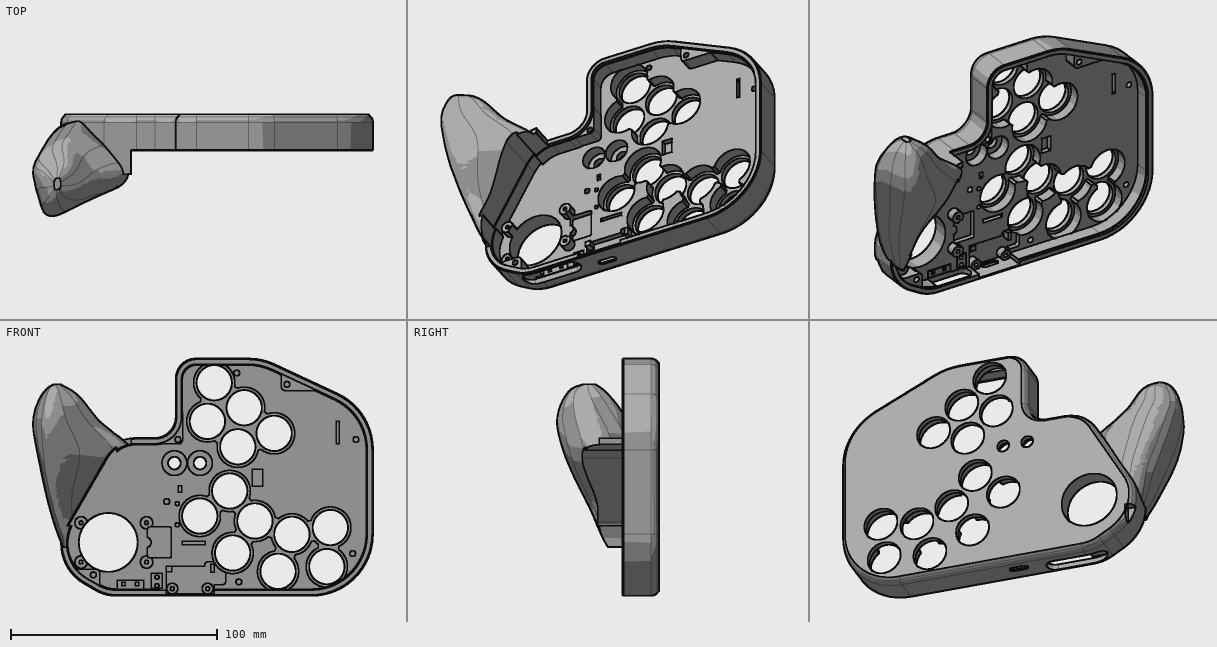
import math
import cadquery as cq


TRAY_WIDTH = 151.1
TRAY_HEIGHT = 115.0
TRAY_DEPTH = 17.7
FLOOR_THICKNESS = 8.8
FACE_THICKNESS = 3.0
LID_RECESS_DEPTH = 1.5
RIM_WIDTH = 2.8
WALL_THICKNESS = 3.3
RIM_CHAMFER = 0.5
BACK_ROUND = 4.0
FAR_AWAY = 60.0
OVERCUT = 1.0
TOLERANCE = 0.1
LEDGE_DEPTH = TRAY_DEPTH - LID_RECESS_DEPTH

GRIP_CORNER_RADIUS = 22.5
HEEL_RADIUS = 20.0
RIGHT_RADIUS = 30.0
TOP_BEND_RADIUS = 30.0
NECK_RADIUS = 10.0
SHOULDER_RADIUS = 18.0
NECK_X = 55.5
SHELF_Z = 76.5
HEEL_X = 26.9
TOP_BEND_X = 90.6
SLANT_ANGLE = 60.0
HEEL_ANGLE = 30.0
ROOF_ANGLE = 25.0

BUTTON_DIAMETER = 17.0
BUTTON_RECESS_DIAMETER = 20.0
BUTTON_NECK_WIDTH = 10.0
UPPER_BUTTONS = [(74.2, 103.2), (88.7, 91.1), (103.2, 78.7), (85.6, 72.2), (70.9, 84.5)]
LOWER_BUTTONS = [
    (81.7, 50.8), (67.2, 38.7), (93.9, 36.3), (83.1, 20.8),
    (111.8, 29.8), (130.4, 33.1), (105.1, 11.9), (128.7, 14.2),
]
SMALL_BUTTON_DIAMETER = 6.0
SMALL_BUTTON_RECESS_DIAMETER = 12.0
SMALL_BUTTONS = [(54.9, 64.3), (67.3, 64.3)]

STICK_X = 22.9
STICK_Z = 25.9
STICK_DIAMETER = 28.4
STICK_POST_DIAMETER = 6.0
STICK_POST_HEIGHT = 4.5
STICK_POST_HOLE_DIAMETER = 1.8
STICK_POST_CENTER_X = 25.6
STICK_POST_SPACING_X = 31.7
STICK_POST_SPACING_Z = 19.0
STICK_POCKET = (41.9, 53.5, 18.4, 33.4)
STICK_POCKET_ROUND = 1.0
STICK_POCKET_BUMP_DIAMETER = 5.3
STICK_POCKET_BUMP_X = 41.0
STICK_SLOT = (-1.0, 4.6, 12.0, 20.0)
STICK_SLOT_START = 0.4
STICK_SLOT_END = 5.0

SCREW_DIAMETER = 2.8
SCREW_DEPTH = 5.0
FLOOR_SCREWS = [(85.1, 107.9), (142.8, 75.7), (141.2, 20.5), (86.1, 6.8), (51.2, 45.7)]
GUSSETS = [(106.6, 130.0, 99.4, 114.0), (44.0, 58.9, 73.6, 90.0), (2.0, 18.9, 2.0, 13.0)]
GUSSET_ROUND = 2.0
GUSSET_SCREWS = [(109.4, 102.4), (56.6, 75.7), (15.7, 10.2)]
PIN_DIAMETER = 2.0
PINS = [(56.3, 44.7), (56.3, 34.4)]

POCKET_DEPTH = 2.8
FLOOR_POCKETS = [(133.2, 134.8, 73.6, 84.5), (58.8, 69.9, 24.8, 26.5),
                 (56.8, 58.5, 50.2, 53.3), (92.5, 97.6, 53.2, 61.3)]
MARK_DEPTH = 0.5
CONNECTOR_SEAT = (27.2, 40.2, RIM_WIDTH, 7.5)
CONNECTOR_PEG_HOLES = [(30.4, 5.8), (36.8, 5.8)]
CONNECTOR_PEG_SIZE = 1.7
SWITCH_SEAT = (43.8, 49.1, 3.7, 11.0)
SWITCH_HOLES = [(46.5, 9.1), (46.5, 5.0)]

BOARD_LEFT = 50.9
BOARD_RIGHT = 79.7
BOARD_TOP = 14.4
BOARD_STEP_X = 74.2
BOARD_STEP_Z = 5.5
BOARD_CORNER_ROUND = 1.5
BOARD_WALL = 1.05
BOARD_POST_DIAMETER = 5.3
BOARD_POST_HOLE_DIAMETER = 2.0
BOARD_POSTS = [(53.9, 3.5), (71.0, 3.5)]
BOARD_SEAT_DEPTH = 10.1
BOARD_CORNER_PAD = (BOARD_LEFT, 53.6, 11.8, BOARD_TOP)
BOARD_CLIP_RELIEF = (69.6, 75.9, 11.4, 16.5)
BOARD_CLIP = (72.4, 74.2, 11.4, 15.4)

USB_X = 62.4
USB_Y = -9.0
USB_SIZE = (9.4, 3.4)
CONNECTOR_WALL_RELIEF = (HEEL_X, BOARD_LEFT, RIM_WIDTH, WALL_THICKNESS)
CONNECTOR_SLOT_X = 33.6
CONNECTOR_SLOT_Y = -12.1
CONNECTOR_SLOT_SIZE = (31.0, 8.4)

SLANT_WALL_CUT = 1.5
SLANT_ZONE = (0.0, 27.0, 34.0, 72.0)
GRIP_WALL_ZONE = (8.0, 34.0, 50.0, SHELF_Z + OVERCUT)
GRIP_WALL_END = 29.0
GRIP_CORNER_SHARE = 0.33
GRIP_SECTIONS = [
    (23.6, [(1.0, -17.0), (2.0, -25.0), (7.0, -24.0), (6.0, -13.0), (1.0, -13.0)]),
    (30.0, [(-2.0, -17.0), (1.0, -29.8), (13.0, -22.0), (10.0, -5.5), (0.0, -8.0)]),
    (40.0, [(-5.5, -18.0), (-2.0, -35.0), (20.0, -21.0), (12.0, -2.5), (-1.0, -5.5)]),
    (55.0, [(-9.3, -21.0), (-5.5, -43.0), (30.0, -27.0), (11.0, -4.0), (-4.0, -8.0)]),
    (70.0, [(-12.5, -25.0), (-7.0, -50.0), (41.0, -30.0), (9.0, -7.5), (-7.0, -12.5)]),
    (77.0, [(-14.0, -26.0), (-7.0, -52.3), (33.5, -31.0), (7.0, -9.5), (-8.0, -15.0)]),
    (85.0, [(-14.6, -28.0), (-7.0, -53.05), (22.0, -34.0), (5.0, -14.0), (-9.0, -18.5)]),
    (95.0, [(-11.6, -29.0), (-6.0, -48.8), (12.0, -38.0), (5.0, -21.5), (-6.0, -24.0)]),
    (100.0, [(-7.8, -31.0), (-5.0, -44.0), (5.2, -38.0), (2.5, -27.0), (-4.0, -27.5)]),
    (102.5, [(-3.5, -33.0), (-3.0, -37.0), (0.0, -36.0), (-0.3, -31.0), (-2.5, -31.0)]),
]


def plane_at(depth):
    """XZ sketch plane, at a given depth from the outer face; extrusions run toward -Y."""
    return cq.Workplane("XZ", origin=(0, -depth, 0))


def box(bounds, start, end, corner_round=0.0):
    """Block over (left, right, bottom, top) between two depths."""
    left, right, bottom, top = bounds
    block = (
        plane_at(start)
        .center((left + right) / 2, (bottom + top) / 2)
        .rect(right - left, top - bottom)
        .extrude(end - start)
    )
    return block.edges("|Y").fillet(corner_round) if corner_round else block


def rods(points, diameter, start, end):
    """Equal cylinders along Y at all points, between two depths."""
    return plane_at(start).pushPoints(points).circle(diameter / 2).extrude(end - start)


def arc_point(center, radius, angle):
    turn = math.radians(angle)
    return (center[0] + radius * math.cos(turn), center[1] + radius * math.sin(turn))


def tray_outline(depth):
    """Closed tray outline, clockwise in (X, Z) from the left end of the flat bottom edge."""
    heel = (HEEL_X, HEEL_RADIUS)
    heel_end = arc_point(heel, HEEL_RADIUS, 270 - HEEL_ANGLE)
    slope = math.tan(math.radians(HEEL_ANGLE))
    corner_end_x = GRIP_CORNER_RADIUS * (1 - math.sin(math.radians(HEEL_ANGLE)))
    corner_end_z = heel_end[1] + (heel_end[0] - corner_end_x) * slope
    corner = (
        GRIP_CORNER_RADIUS,
        corner_end_z + GRIP_CORNER_RADIUS * math.cos(math.radians(HEEL_ANGLE)),
    )
    slant_normal = 90 + SLANT_ANGLE
    slant_start = arc_point(corner, GRIP_CORNER_RADIUS, slant_normal)
    shoulder_z = SHELF_Z - SHOULDER_RADIUS
    slant_end_z = shoulder_z + SHOULDER_RADIUS * math.sin(math.radians(slant_normal))
    slant_end_x = slant_start[0] + (slant_end_z - slant_start[1]) / math.tan(math.radians(SLANT_ANGLE))
    shoulder = (slant_end_x - SHOULDER_RADIUS * math.cos(math.radians(slant_normal)), shoulder_z)
    neck = (NECK_X - NECK_RADIUS, SHELF_Z + NECK_RADIUS)
    crown = (NECK_X + NECK_RADIUS, TRAY_HEIGHT - NECK_RADIUS)
    bend = (TOP_BEND_X, TRAY_HEIGHT - TOP_BEND_RADIUS)
    roof_normal = 90 - ROOF_ANGLE
    roof_start = arc_point(bend, TOP_BEND_RADIUS, roof_normal)
    right_x = TRAY_WIDTH - RIGHT_RADIUS
    roof_end_x = right_x + RIGHT_RADIUS * math.cos(math.radians(roof_normal))
    roof_end_z = roof_start[1] - (roof_end_x - roof_start[0]) * math.tan(math.radians(ROOF_ANGLE))
    upper_right = (right_x, roof_end_z - RIGHT_RADIUS * math.sin(math.radians(roof_normal)))
    lower_right = (right_x, RIGHT_RADIUS)

    stretches = [
        (heel, HEEL_RADIUS, 270, 270 - HEEL_ANGLE),
        (corner, GRIP_CORNER_RADIUS, 270 - HEEL_ANGLE, slant_normal),
        (shoulder, SHOULDER_RADIUS, slant_normal, 90),
        (neck, NECK_RADIUS, -90, 0),
        (crown, NECK_RADIUS, 180, 90),
        (bend, TOP_BEND_RADIUS, 90, roof_normal),
        (upper_right, RIGHT_RADIUS, roof_normal, 0),
        (lower_right, RIGHT_RADIUS, 0, -90),
    ]
    sketch = plane_at(depth).moveTo(HEEL_X, 0)
    for index, (center, radius, first, last) in enumerate(stretches):
        if index:
            sketch = sketch.lineTo(*arc_point(center, radius, first))
        middle = arc_point(center, radius, (first + last) / 2)
        sketch = sketch.threePointArc(middle, arc_point(center, radius, last))
    return sketch.close()


def inner_prism(inset, start, end):
    return tray_outline(start).offset2D(-inset).extrude(end - start)


def make_shell():
    """Solid tray block: the back edge is a 45 degree bevel blended into the sides."""
    bevel = BACK_ROUND * (2 - math.sqrt(2))
    shell = tray_outline(0).extrude(TRAY_DEPTH)
    shell = shell.faces(">Y").chamfer(bevel)
    bevel_edges = cq.selectors.BoxSelector(
        (-FAR_AWAY, -bevel - TOLERANCE, -FAR_AWAY), (2 * TRAY_WIDTH, -bevel + TOLERANCE, 2 * TRAY_HEIGHT)
    )
    shell = shell.edges(bevel_edges).fillet(BACK_ROUND)
    return shell.faces("<Y").edges().chamfer(RIM_CHAMFER)


def grip_section(height, corners):
    """Polygon with each corner replaced by a smooth curve."""
    points = [cq.Vector(x, y, height) for x, y in corners]
    edges = []
    for index, corner in enumerate(points):
        before = corner + (points[index - 1] - corner) * GRIP_CORNER_SHARE
        following = points[(index + 1) % len(points)]
        after = corner + (following - corner) * GRIP_CORNER_SHARE
        edges.append(cq.Edge.makeBezier([before, corner, after]))
        edges.append(cq.Edge.makeLine(after, following + (corner - following) * GRIP_CORNER_SHARE))
    return cq.Wire.assembleEdges(edges)


def opening(inset, start, end):
    """Space inside the tray wall; the wall is thinner along the slanted side."""
    slant = inner_prism(inset - SLANT_WALL_CUT, start, end).intersect(box(SLANT_ZONE, start, end))
    return inner_prism(inset, start, end).union(slant)


def make_grip():
    """Lofted grip with a wall that follows the tray outline, both trimmed to the tray opening."""
    wires = [grip_section(height, corners) for height, corners in GRIP_SECTIONS]
    loft = cq.Workplane(obj=cq.Solid.makeLoft(wires))
    outline = tray_outline(LEDGE_DEPTH).extrude(GRIP_WALL_END - LEDGE_DEPTH)
    wall = outline.intersect(box(GRIP_WALL_ZONE, LEDGE_DEPTH, GRIP_WALL_END))
    return loft.union(wall).cut(opening(RIM_WIDTH, 0, FAR_AWAY))


def hollow(body):
    """Cut the cavity and the wider lid seat."""
    body = body.cut(opening(WALL_THICKNESS, FLOOR_THICKNESS, LEDGE_DEPTH))
    return body.cut(opening(RIM_WIDTH, LEDGE_DEPTH, TRAY_DEPTH))


def add_gussets(body):
    room = inner_prism(WALL_THICKNESS / 2, FACE_THICKNESS, LEDGE_DEPTH)
    for bounds in GUSSETS:
        body = body.union(box(bounds, FACE_THICKNESS, LEDGE_DEPTH, GUSSET_ROUND).intersect(room))
    return body.cut(rods(GUSSET_SCREWS, SCREW_DIAMETER, LEDGE_DEPTH - SCREW_DEPTH, LEDGE_DEPTH))


def button_group(centers, open_middle):
    """Through holes with wide recesses that join their neighbours, optionally clearing the middle."""
    cutter = rods(centers, BUTTON_DIAMETER, -OVERCUT, FLOOR_THICKNESS)
    if open_middle:
        middle = plane_at(FACE_THICKNESS).polyline(centers).close()
        cutter = cutter.union(middle.extrude(FLOOR_THICKNESS - FACE_THICKNESS))
    for index, first in enumerate(centers):
        cutter = cutter.union(rods([first], BUTTON_RECESS_DIAMETER, FACE_THICKNESS, FLOOR_THICKNESS))
        for second in centers[index + 1:]:
            gap = math.dist(first, second)
            if gap < BUTTON_RECESS_DIAMETER:
                angle = math.degrees(math.atan2(second[1] - first[1], second[0] - first[0]))
                neck = (
                    plane_at(FACE_THICKNESS)
                    .center((first[0] + second[0]) / 2, (first[1] + second[1]) / 2)
                    .transformed(rotate=(0, 0, angle))
                    .rect(gap / 2, BUTTON_NECK_WIDTH)
                    .extrude(FLOOR_THICKNESS - FACE_THICKNESS)
                )
                cutter = cutter.union(neck)
    return cutter


def cut_buttons(body):
    body = body.cut(button_group(UPPER_BUTTONS, True)).cut(button_group(LOWER_BUTTONS, False))
    body = body.cut(rods(SMALL_BUTTONS, SMALL_BUTTON_DIAMETER, -OVERCUT, FLOOR_THICKNESS))
    return body.cut(rods(SMALL_BUTTONS, SMALL_BUTTON_RECESS_DIAMETER, FACE_THICKNESS, FLOOR_THICKNESS))


def add_joystick(body):
    half_x = STICK_POST_SPACING_X / 2
    half_z = STICK_POST_SPACING_Z / 2
    posts = [(STICK_POST_CENTER_X + i * half_x, STICK_Z + j * half_z) for i in (-1, 1) for j in (-1, 1)]
    post_end = FLOOR_THICKNESS + STICK_POST_HEIGHT
    floor_level = FLOOR_THICKNESS - POCKET_DEPTH
    body = body.union(rods(posts, STICK_POST_DIAMETER, floor_level, post_end))
    bump = rods([(STICK_POCKET_BUMP_X, STICK_Z)], STICK_POCKET_BUMP_DIAMETER, floor_level, post_end)
    body = body.cut(box(STICK_POCKET, floor_level, post_end, STICK_POCKET_ROUND).cut(bump))
    body = body.cut(rods(posts, STICK_POST_HOLE_DIAMETER, floor_level, post_end))
    body = body.cut(rods([(STICK_X, STICK_Z)], STICK_DIAMETER, -OVERCUT, post_end))
    return body.cut(box(STICK_SLOT, STICK_SLOT_START, STICK_SLOT_END))


def cut_floor_details(body):
    screw_start = FLOOR_THICKNESS - SCREW_DEPTH
    body = body.cut(rods(FLOOR_SCREWS, SCREW_DIAMETER, screw_start, FLOOR_THICKNESS))
    body = body.cut(rods(PINS, PIN_DIAMETER, screw_start, FLOOR_THICKNESS))
    for bounds in FLOOR_POCKETS:
        body = body.cut(box(bounds, FLOOR_THICKNESS - POCKET_DEPTH, FLOOR_THICKNESS))
    for bounds in (CONNECTOR_SEAT, SWITCH_SEAT):
        body = body.cut(box(bounds, FLOOR_THICKNESS - MARK_DEPTH, FLOOR_THICKNESS))
    peg_holes = (
        plane_at(FLOOR_THICKNESS - POCKET_DEPTH)
        .pushPoints(CONNECTOR_PEG_HOLES)
        .rect(CONNECTOR_PEG_SIZE, CONNECTOR_PEG_SIZE)
        .extrude(POCKET_DEPTH)
    )
    body = body.cut(peg_holes)
    return body.cut(rods(SWITCH_HOLES, PIN_DIAMETER, screw_start, FLOOR_THICKNESS))


def add_board_bay(body):
    bay_floor = FLOOR_THICKNESS - POCKET_DEPTH
    upper_bay = (BOARD_LEFT, BOARD_RIGHT, BOARD_STEP_Z, BOARD_TOP)
    body = body.cut(box(upper_bay, bay_floor, FLOOR_THICKNESS, BOARD_CORNER_ROUND))
    lower_bay = (BOARD_LEFT, BOARD_STEP_X, BOARD_WALL, BOARD_STEP_Z + BOARD_CORNER_ROUND)
    body = body.cut(box(lower_bay, bay_floor, TRAY_DEPTH))
    body = body.cut(box(BOARD_CLIP_RELIEF, bay_floor, FLOOR_THICKNESS, BOARD_CORNER_ROUND))
    posts = rods(BOARD_POSTS, BOARD_POST_DIAMETER, bay_floor, BOARD_SEAT_DEPTH)
    body = body.union(posts.intersect(inner_prism(BOARD_WALL, bay_floor, BOARD_SEAT_DEPTH)))
    for bounds in (BOARD_CORNER_PAD, BOARD_CLIP):
        body = body.union(box(bounds, bay_floor, BOARD_SEAT_DEPTH))
    return body.cut(rods(BOARD_POSTS, BOARD_POST_HOLE_DIAMETER, bay_floor, BOARD_SEAT_DEPTH))


def cut_bottom_openings(body):
    bottom = cq.Workplane("XY", origin=(0, 0, -OVERCUT))
    usb = bottom.center(USB_X, USB_Y).slot2D(*USB_SIZE).extrude(OVERCUT + WALL_THICKNESS)
    connector = (
        bottom.center(CONNECTOR_SLOT_X, CONNECTOR_SLOT_Y)
        .slot2D(*CONNECTOR_SLOT_SIZE)
        .extrude(OVERCUT + WALL_THICKNESS)
    )
    body = body.cut(box(CONNECTOR_WALL_RELIEF, FLOOR_THICKNESS, LEDGE_DEPTH))
    return body.cut(usb).cut(connector)


result = hollow(make_shell())
result = add_gussets(result)
result = add_joystick(result)
result = cut_buttons(result)
result = cut_floor_details(result)
result = add_board_bay(result)
result = cut_bottom_openings(result)
result = result.union(make_grip())